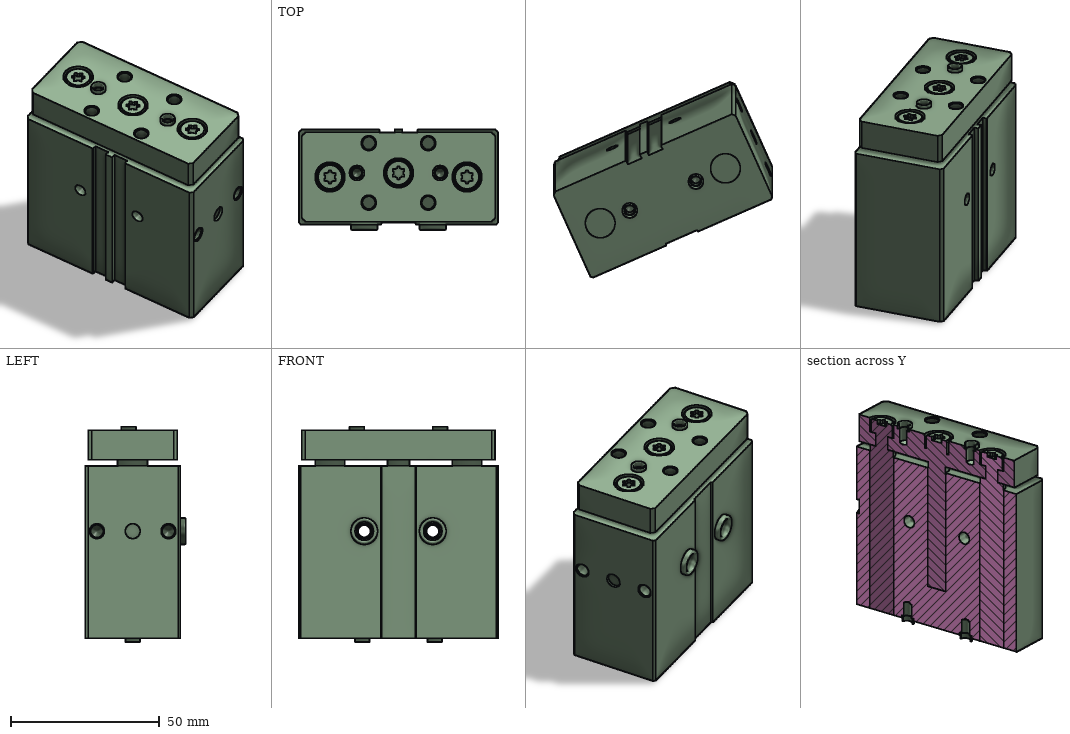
import cadquery as cq
import math

OVERALL_HEIGHT = 72.4

HOUSING_WIDTH = 67.0
HOUSING_DEPTH = 32.0
HOUSING_HEIGHT = 58.0
HOUSING_BACK_CHAMFER = 1.0
HOUSING_FRONT_CHAMFER = 0.7
FRONT_GROOVE_WIDTH = 11.9
FRONT_GROOVE_DEPTH = 0.6
FRONT_GROOVE_WALL_SLOPE = 0.3
BACK_GROOVE_WIDTH = 12.75
BACK_GROOVE_DEPTH = 1.45
BACK_GROOVE_LIP_CHAMFER = 0.3
BACK_RIB_WIDTH = 2.6

HOLE_LEVEL = 36.05
SIDE_HOLE_OFFSET = 12.0
SIDE_HOLE_DEPTH = 8.0
SIDE_RECESS_DIAMETER = 5.0
SIDE_RECESS_DEPTH = 1.0

THREAD_CORE_DIAMETER = 4.3
THREAD_MOUTH_DIAMETER = 5.0
DRILL_POINT_ANGLE = 118
MOUNTING_HOLE_DIAMETER = 4.1
MOUNTING_HOLE_MOUTH = 5.0

PLATE_GAP = 2.0
PLATE_WIDTH = 65.0
PLATE_DEPTH = 30.0
PLATE_THICKNESS = 10.0
PLATE_CHAMFER = 1.2
PLATE_BOTTOM = HOUSING_HEIGHT + PLATE_GAP
PLATE_TOP = PLATE_BOTTOM + PLATE_THICKNESS
PLATE_HOLE_SPACING = 20.0
PATTERN_Y = 1.4

GUIDE_ROD_DIAMETER = 10.0
GUIDE_ROD_OFFSET = 23.0
PISTON_ROD_DIAMETER = 7.5
PISTON_ROD_INSERTION = 43.45
SHANK_DIAMETER = 5.0
HEAD_POCKET_DIAMETER = 10.0
HEAD_POCKET_DEPTH = 5.1
HEAD_DIAMETER = 9.0
HEAD_TOP_DIAMETER = 8.0
HEAD_CHAMFER = (HEAD_DIAMETER - HEAD_TOP_DIAMETER) / 2
HEAD_RECESS = 0.2
HEAD_HEIGHT = HEAD_POCKET_DEPTH - HEAD_RECESS
DRIVE_CORE_DIAMETER = 3.3
DRIVE_LOBE_COUNT = 6
DRIVE_LOBE_DIAMETER = 0.95
DRIVE_TIP_DIAMETER = 4.5
DRIVE_DEPTH = 1.3

SMALL_SLEEVE_DIAMETER = 5.0
SMALL_SLEEVE_BORE = 3.8
SLEEVE_SEAT_HOLE_DIAMETER = 3.3
SMALL_SLEEVE_INSERTION = 0.9
SMALL_SLEEVE_PROTRUSION = (OVERALL_HEIGHT - PLATE_TOP) / 2
TOP_SLEEVE_OFFSET = 14.0
BOTTOM_SLEEVE_OFFSET = 12.15
SLEEVE_SEAT_HOLE_DEPTH = 5.8

LARGE_SLEEVE_DIAMETER = 9.0
LARGE_SLEEVE_BORE = 6.2
LARGE_SLEEVE_PROTRUSION = 1.9
LARGE_SLEEVE_INSERTION = 1.2
LARGE_SLEEVE_OFFSET = 11.5


def cylinder(base, direction, diameter, length):
    """Solid cylinder that starts at base and runs along direction."""
    return cq.Workplane(cq.Solid.makeCylinder(diameter / 2, length, cq.Vector(*base), cq.Vector(*direction)))


def chamfered_mouth(base, direction, core_diameter, mouth_diameter):
    """45-degree cone that widens a hole mouth."""
    core_radius = core_diameter / 2
    mouth_radius = mouth_diameter / 2
    cone = cq.Solid.makeCone(
        mouth_radius, core_radius, mouth_radius - core_radius, cq.Vector(*base), cq.Vector(*direction)
    )
    return cq.Workplane(cone)


def drilled_hole(base, direction, diameter, depth):
    """Blind hole with a conical drill point beyond its full-diameter depth."""
    radius = diameter / 2
    point_length = radius / math.tan(math.radians(DRILL_POINT_ANGLE / 2))
    axis = cq.Vector(*direction)
    point = cq.Solid.makeCone(radius, 0, point_length, cq.Vector(*base) + axis * depth, axis)
    return cylinder(base, direction, diameter, depth).union(cq.Workplane(point))


def small_sleeve_seat(base, direction):
    """Recess for a small sleeve, with the drilled hole that continues below it."""
    recess = cylinder(base, direction, SMALL_SLEEVE_DIAMETER, SMALL_SLEEVE_INSERTION)
    return recess.union(drilled_hole(base, direction, SLEEVE_SEAT_HOLE_DIAMETER, SLEEVE_SEAT_HOLE_DEPTH))


def housing_block():
    """Block with chamfered upright corners and a shallow groove in its front and back faces."""
    side = HOUSING_WIDTH / 2
    back = HOUSING_DEPTH / 2
    block = cq.Workplane().box(HOUSING_WIDTH, HOUSING_DEPTH, HOUSING_HEIGHT, centered=(True, True, False))
    block = block.edges("|Z and >Y").chamfer(HOUSING_BACK_CHAMFER)
    block = block.edges("|Z and <Y").chamfer(HOUSING_FRONT_CHAMFER)

    front_mouth = FRONT_GROOVE_WIDTH / 2
    front_floor = front_mouth - FRONT_GROOVE_WALL_SLOPE
    front_groove = (
        cq.Workplane()
        .polyline([
            (-front_mouth, -back),
            (front_mouth, -back),
            (front_floor, FRONT_GROOVE_DEPTH - back),
            (-front_floor, FRONT_GROOVE_DEPTH - back),
        ])
        .close()
        .extrude(HOUSING_HEIGHT)
    )

    back_wall = BACK_GROOVE_WIDTH / 2
    back_mouth = back_wall + BACK_GROOVE_LIP_CHAMFER
    back_groove = (
        cq.Workplane()
        .polyline([
            (-back_mouth, back),
            (-back_wall, back - BACK_GROOVE_LIP_CHAMFER),
            (-back_wall, back - BACK_GROOVE_DEPTH),
            (back_wall, back - BACK_GROOVE_DEPTH),
            (back_wall, back - BACK_GROOVE_LIP_CHAMFER),
            (back_mouth, back),
        ])
        .close()
        .extrude(HOUSING_HEIGHT)
    )
    back_rib = (
        cq.Workplane()
        .center(0, back - BACK_GROOVE_DEPTH / 2)
        .rect(BACK_RIB_WIDTH, BACK_GROOVE_DEPTH)
        .extrude(HOUSING_HEIGHT)
    )
    return block.cut(front_groove).cut(back_groove.cut(back_rib))


def cut_side_holes(body):
    """Two drilled holes and a shallow round recess between them in the -X side."""
    side = -HOUSING_WIDTH / 2
    inward = (1, 0, 0)
    for y in (-SIDE_HOLE_OFFSET, SIDE_HOLE_OFFSET):
        base = (side, y, HOLE_LEVEL)
        body = body.cut(drilled_hole(base, inward, THREAD_CORE_DIAMETER, SIDE_HOLE_DEPTH))
        body = body.cut(chamfered_mouth(base, inward, THREAD_CORE_DIAMETER, THREAD_MOUTH_DIAMETER))
    centre = (side, 0, HOLE_LEVEL)
    return body.cut(cylinder(centre, inward, SIDE_RECESS_DIAMETER, SIDE_RECESS_DEPTH))


def cut_mounting_holes(body):
    """Two holes from front to back, each with a sleeve recess at the front."""
    front = -HOUSING_DEPTH / 2
    recess_floor = front + LARGE_SLEEVE_INSERTION
    inward = (0, 1, 0)
    for x in (-LARGE_SLEEVE_OFFSET, LARGE_SLEEVE_OFFSET):
        mouth = (x, front, HOLE_LEVEL)
        floor = (x, recess_floor, HOLE_LEVEL)
        body = body.cut(cylinder(mouth, inward, MOUNTING_HOLE_DIAMETER, HOUSING_DEPTH))
        body = body.cut(cylinder(mouth, inward, LARGE_SLEEVE_DIAMETER, LARGE_SLEEVE_INSERTION))
        body = body.cut(chamfered_mouth(floor, inward, MOUNTING_HOLE_DIAMETER, MOUNTING_HOLE_MOUTH))
    return body


def make_housing():
    body = cut_mounting_holes(cut_side_holes(housing_block()))
    for x in (-GUIDE_ROD_OFFSET, GUIDE_ROD_OFFSET):
        body = body.cut(cylinder((x, 0, 0), (0, 0, 1), GUIDE_ROD_DIAMETER, HOUSING_HEIGHT))
    for x in (-BOTTOM_SLEEVE_OFFSET, BOTTOM_SLEEVE_OFFSET):
        body = body.cut(small_sleeve_seat((x, 0, 0), (0, 0, 1)))
    return body.cut(
        cylinder((0, PATTERN_Y, HOUSING_HEIGHT), (0, 0, -1), PISTON_ROD_DIAMETER, PISTON_ROD_INSERTION)
    )


def star_drive(x, y, top):
    """Six-lobed drive recess in a screw head."""
    lobe_circle = (DRIVE_TIP_DIAMETER - DRIVE_LOBE_DIAMETER) / 2
    drive = cylinder((x, y, top), (0, 0, -1), DRIVE_CORE_DIAMETER, DRIVE_DEPTH)
    for index in range(DRIVE_LOBE_COUNT):
        angle = math.radians(90 + index * 360 / DRIVE_LOBE_COUNT)
        lobe_x = x + lobe_circle * math.cos(angle)
        lobe_y = y + lobe_circle * math.sin(angle)
        drive = drive.union(cylinder((lobe_x, lobe_y, top), (0, 0, -1), DRIVE_LOBE_DIAMETER, DRIVE_DEPTH))
    return drive


def screw_head(x, y):
    """Chamfered round head that stands on the floor of its pocket in the plate."""
    head_bottom = PLATE_TOP - HEAD_POCKET_DEPTH
    head = cylinder((x, y, head_bottom), (0, 0, 1), HEAD_DIAMETER, HEAD_HEIGHT)
    head = head.faces(">Z").edges().chamfer(HEAD_CHAMFER)
    return head.cut(star_drive(x, y, head_bottom + HEAD_HEIGHT))


def make_guide_rod(x):
    """Guide rod held to the plate by a thinner shank and a screw head."""
    rod = cylinder((x, 0, 0), (0, 0, 1), GUIDE_ROD_DIAMETER, PLATE_BOTTOM)
    shank_length = PLATE_THICKNESS - HEAD_POCKET_DEPTH
    shank = cylinder((x, 0, PLATE_BOTTOM), (0, 0, 1), SHANK_DIAMETER, shank_length)
    return rod.union(shank).union(screw_head(x, 0))


def make_slide():
    plate = (
        cq.Workplane(origin=(0, 0, PLATE_BOTTOM))
        .box(PLATE_WIDTH, PLATE_DEPTH, PLATE_THICKNESS, centered=(True, True, False))
        .edges("|Z")
        .chamfer(PLATE_CHAMFER)
    )
    down = (0, 0, -1)

    for x in (-PLATE_HOLE_SPACING / 2, PLATE_HOLE_SPACING / 2):
        for y in (PATTERN_Y - PLATE_HOLE_SPACING / 2, PATTERN_Y + PLATE_HOLE_SPACING / 2):
            mouth = (x, y, PLATE_TOP)
            plate = plate.cut(cylinder(mouth, down, THREAD_CORE_DIAMETER, PLATE_THICKNESS))
            plate = plate.cut(chamfered_mouth(mouth, down, THREAD_CORE_DIAMETER, THREAD_MOUTH_DIAMETER))

    for x in (-TOP_SLEEVE_OFFSET, TOP_SLEEVE_OFFSET):
        plate = plate.cut(small_sleeve_seat((x, PATTERN_Y, PLATE_TOP), down))

    for x in (-GUIDE_ROD_OFFSET, GUIDE_ROD_OFFSET):
        plate = plate.cut(cylinder((x, 0, PLATE_TOP), down, HEAD_POCKET_DIAMETER, HEAD_POCKET_DEPTH))
        plate = plate.cut(cylinder((x, 0, PLATE_TOP), down, SHANK_DIAMETER, PLATE_THICKNESS))

    plate = plate.cut(cylinder((0, PATTERN_Y, PLATE_TOP), down, HEAD_POCKET_DIAMETER, HEAD_POCKET_DEPTH))
    piston_rod = cylinder(
        (0, PATTERN_Y, PLATE_BOTTOM), down, PISTON_ROD_DIAMETER, PLATE_GAP + PISTON_ROD_INSERTION
    )
    return plate.union(piston_rod).union(screw_head(0, PATTERN_Y))


def sleeve_upright(diameter, bore, insertion, protrusion):
    """Upright sleeve sunk below Z = 0 by insertion; its upper end is a half-round rim."""
    outer_radius = diameter / 2
    bore_radius = bore / 2
    rim_radius = (outer_radius - bore_radius) / 2
    rim_base = protrusion - rim_radius
    return (
        cq.Workplane("XZ")
        .moveTo(bore_radius, -insertion)
        .lineTo(outer_radius, -insertion)
        .lineTo(outer_radius, rim_base)
        .threePointArc((bore_radius + rim_radius, protrusion), (bore_radius, rim_base))
        .close()
        .revolve(360, (0, 0, 0), (0, 1, 0))
    )


def small_sleeve_upright():
    return sleeve_upright(
        SMALL_SLEEVE_DIAMETER, SMALL_SLEEVE_BORE, SMALL_SLEEVE_INSERTION, SMALL_SLEEVE_PROTRUSION
    )


def make_top_sleeve(x):
    """Small sleeve that stands up from the plate."""
    return small_sleeve_upright().translate((x, PATTERN_Y, PLATE_TOP))


def make_bottom_sleeve(x):
    """Small sleeve that hangs below the housing."""
    return small_sleeve_upright().rotate((0, 0, 0), (1, 0, 0), 180).translate((x, 0, 0))


def make_front_sleeve(x):
    """Large sleeve that sticks out of the housing front."""
    sleeve = sleeve_upright(
        LARGE_SLEEVE_DIAMETER, LARGE_SLEEVE_BORE, LARGE_SLEEVE_INSERTION, LARGE_SLEEVE_PROTRUSION
    )
    return sleeve.rotate((0, 0, 0), (1, 0, 0), 90).translate((x, -HOUSING_DEPTH / 2, HOLE_LEVEL))


housing = make_housing()
slide = make_slide()
guide_rods = [make_guide_rod(x) for x in (-GUIDE_ROD_OFFSET, GUIDE_ROD_OFFSET)]
top_sleeves = [make_top_sleeve(x) for x in (-TOP_SLEEVE_OFFSET, TOP_SLEEVE_OFFSET)]
bottom_sleeves = [make_bottom_sleeve(x) for x in (-BOTTOM_SLEEVE_OFFSET, BOTTOM_SLEEVE_OFFSET)]
front_sleeves = [make_front_sleeve(x) for x in (-LARGE_SLEEVE_OFFSET, LARGE_SLEEVE_OFFSET)]

bodies = [housing, slide, *guide_rods, *top_sleeves, *bottom_sleeves, *front_sleeves]
result = cq.Compound.makeCompound([body.val() for body in bodies])